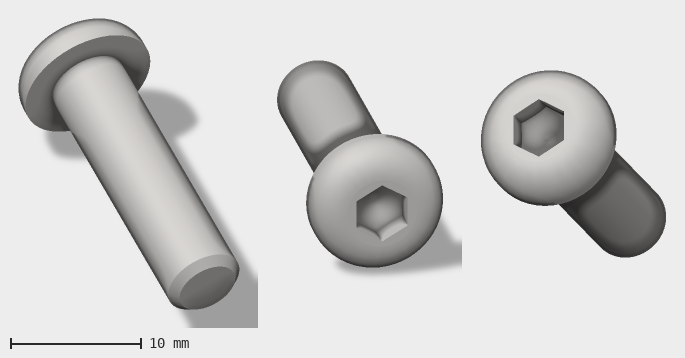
import cadquery as cq
import math

total_length = 25.3
head_diameter = 10.5
head_height = 3.3
rim_width = 0.75
shank_diameter = 6.0
tip_chamfer = 0.65
socket_across_flats = 4.0
socket_depth = 2.07
socket_cone_angle = 120.0

head_radius = head_diameter / 2
shank_radius = shank_diameter / 2
dome_radius = head_height - rim_width
face_radius = head_radius - dome_radius


def make_body():
    """Revolve the half profile of the head and shank about the X axis."""
    arc_offset = dome_radius * math.sqrt(0.5)
    arc_middle = (dome_radius - arc_offset, face_radius + arc_offset)
    profile = (
        cq.Workplane("XY")
        .lineTo(0, face_radius)
        .threePointArc(arc_middle, (dome_radius, head_radius))
        .lineTo(head_height, head_radius)
        .lineTo(head_height, shank_radius)
        .lineTo(total_length - tip_chamfer, shank_radius)
        .lineTo(total_length, shank_radius - tip_chamfer)
        .lineTo(total_length, 0)
        .close()
    )
    return profile.revolve(360, (0, 0, 0), (1, 0, 0))


def make_socket():
    """Hexagonal socket, corners towards +Z and -Z, whose whole bottom is a cone."""
    corner_radius = socket_across_flats / 2 / math.cos(math.radians(30))
    cone_depth = corner_radius / math.tan(math.radians(socket_cone_angle / 2))
    hexagon = (
        cq.Workplane("YZ")
        .transformed(rotate=(0, 0, 90))
        .polygon(6, 2 * corner_radius)
        .extrude(socket_depth + cone_depth)
    )
    pointed_cylinder = (
        cq.Workplane("XY")
        .lineTo(0, corner_radius)
        .lineTo(socket_depth, corner_radius)
        .lineTo(socket_depth + cone_depth, 0)
        .close()
        .revolve(360, (0, 0, 0), (1, 0, 0))
    )
    return hexagon.intersect(pointed_cylinder)


result = make_body().cut(make_socket())